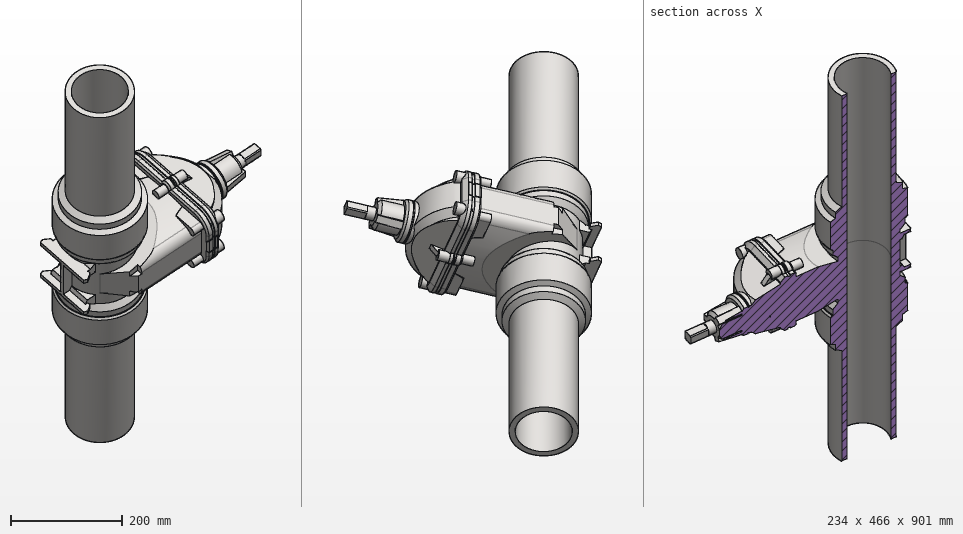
import cadquery as cq


LENGTH = 901.0
PIPE_D = 125.0
BORE_D = 103.0
RING_D = 150.5
COLLAR_D = 172.0
COLLAR_EDGE = 4.0
NECK_D = 161.0
HUB_D = 141.0
HUB_Z = 56.0
NECK_Z = 67.0
COLLAR_Z = 80.0
COLLAR_SHOULDER_Z = 151.0
RING_Z = 156.0
RING_CONE_Z = 170.0
PIPE_Z = 177.5

BODY_HALF_X = 199.0 / 2
CROWN_EDGE_X = 83.0
SIDE_HALF_Z = 26.0
CROWN_EDGE_Z = 45.0
CROWN_Z = 56.0
CORNER_BULGE = 0.66
BODY_END_Y = 5.0
KEEL_HALF_Z = 22.0
KEEL_X = 53.0
KEEL_Y = -46.0
SADDLE_Y = 113.5
SHOULDER_R = 89.0
SHOULDER_Y = 13.5

BODY_FLANGE_Y = 156.0
BONNET_FLANGE_Y = 180.0
BONNET_FLANGE_TOP_Y = 190.0
SLOPE_LAND = 1.0
GASKET_LOW_Y = 168.5
GASKET_TOP_Y = 174.0
JOINT_Y = (GASKET_LOW_Y + GASKET_TOP_Y) / 2
GASKET_INSET = 3.0
FLANGE_HALF_X = 232.0 / 2
FLANGE_HALF_Z = 132.0 / 2
FLANGE_CORNER_R = 38.0
FLANGE_EDGE = 4.0
SIDE_PAD_HALF_X = 234.0 / 2
SIDE_PAD_HALF_Z = 16.0

BOSS_TOP_Y = 201.0
BOLT_END_Y = 133.0
BOLT_R = 9.0
CORNER_BOLT_X = 192.0 / 2
CORNER_BOLT_Z = 44.0
CORNER_BOSS_R = 12.0
CORNER_BOSS_X = 197.0 / 2
CORNER_BOSS_Z = 40.0
MID_BOLT_Z = 122.0 / 2
MID_BOSS_R = 10.0
MID_BOSS_OUTER_Z = 150.5 / 2
MID_PAD_R = 13.5
GUSSET_TOP_Y = 218.0
GUSSET_WIDTH = 11.0
LUG_INNER_X = 45.0
LUG_SLANT = 10.0
LUG_Z = CORNER_BOLT_Z + BOLT_R

DOME_R = 106.0
DOME_CENTRE_Y = 150.5
DOME_SIDE_HALF_Z = 31.5
DOME_BEVEL = 13.5
DOME_TOP_Y = 258.0
DOME_TOP_SCALE = 0.7

GLAND_R = 40.0
GLAND_Y = 239.0
GLAND_TOP_Y = 273.0
GLAND_EDGE = 4.5
GROOVE_Y = 257.0
GROOVE_WIDTH = 3.0
GROOVE_DEPTH = 2.0
HOUSING_R = 28.0
HOUSING_TOP_Y = 322.0
HOUSING_EDGE = 6.0
RIB_COUNT = 3
RIB_WIDTH = 14.0
RIB_BASE_R = 36.0
RIB_TOP_R = 30.0
SPINDLE_D = 25.0
SPINDLE_SQUARE = 20.0
SPINDLE_SHOULDER_Y = 338.0
SPINDLE_TOP_Y = 376.0

FOOT_Y = -90.0
FOOT_TOP_Y = -70.0
FOOT_WAIST_Y = -83.0
FOOT_HALF_TOP = 54.0
FOOT_HALF_MAX = 62.0
FOOT_HALF_BOTTOM = 59.5
FOOT_OUTER_Z = 96.0 / 2
FOOT_INNER_Z = 40.0
FOOT_WEB = 8.0
FOOT_WEB_TOP_Y = -63.0
FLARE_HALF_X = 48.0
FLARE_LOW_Y = -76.0
FLARE_BEND_Y = -64.0
FLARE_TOP_Y = -53.0
FLARE_INNER_Y = -71.0
FLARE_OUTER_Z = 56.0
FLARE_INNER_Z = 31.5

SIGNS = (-1, 1)


def xz_plane(y):
    """Work plane at height y: local x is X, local y is -Z, and extrusion goes along +Y."""
    return cq.Workplane("ZX", origin=(0, y, 0)).transformed(rotate=(0, 0, 90))


def post(x, z, radius, y_low, y_high):
    """Round post along Y."""
    return xz_plane(y_low).center(x, -z).circle(radius).extrude(y_high - y_low)


def pipe_run():
    """One revolved profile, the same above and below the valve centre."""
    hub_r, neck_r, collar_r = HUB_D / 2, NECK_D / 2, COLLAR_D / 2
    ring_r, pipe_r = RING_D / 2, PIPE_D / 2
    upper_half = [
        (hub_r, HUB_Z),
        (neck_r, NECK_Z),
        (neck_r, COLLAR_Z),
        (collar_r - COLLAR_EDGE, COLLAR_Z),
        (collar_r, COLLAR_Z + COLLAR_EDGE),
        (collar_r, COLLAR_SHOULDER_Z),
        (ring_r, RING_Z),
        (ring_r, RING_CONE_Z),
        (pipe_r, PIPE_Z),
        (pipe_r, LENGTH / 2),
        (0, LENGTH / 2),
    ]
    lower_half = [(radius, -z) for radius, z in reversed(upper_half)]
    profile = cq.Workplane("XZ").polyline(lower_half + upper_half).close()
    return profile.revolve(360, (0, 0, 0), (0, 1, 0))


def crowned_section(plane):
    """Flat sides, round corners and a shallow crown above and below."""
    side_x, edge_x = BODY_HALF_X, CROWN_EDGE_X
    side_z, edge_z, crown_z = SIDE_HALF_Z, CROWN_EDGE_Z, CROWN_Z
    mid_x = edge_x + (side_x - edge_x) * CORNER_BULGE
    mid_z = side_z + (edge_z - side_z) * CORNER_BULGE
    return (
        plane.moveTo(side_x, -side_z)
        .lineTo(side_x, side_z)
        .threePointArc((mid_x, mid_z), (edge_x, edge_z))
        .threePointArc((0, crown_z), (-edge_x, edge_z))
        .threePointArc((-mid_x, mid_z), (-side_x, side_z))
        .lineTo(-side_x, -side_z)
        .threePointArc((-mid_x, -mid_z), (-edge_x, -edge_z))
        .threePointArc((0, -crown_z), (edge_x, -edge_z))
        .threePointArc((mid_x, -mid_z), (side_x, -side_z))
        .close()
    )


def valve_body():
    """Crowned box with a V-shaped lower end, thinned towards the pipe by two sloped saddles.

    Beside the keel the lower corners are trimmed to a cylinder about the pipe axis.
    """
    box = crowned_section(xz_plane(KEEL_Y)).extrude(JOINT_Y - KEEL_Y)
    keel = (
        cq.Workplane("XY")
        .polyline([
            (-KEEL_X, KEEL_Y), (KEEL_X, KEEL_Y), (BODY_HALF_X, BODY_END_Y), (BODY_HALF_X, JOINT_Y),
            (-BODY_HALF_X, JOINT_Y), (-BODY_HALF_X, BODY_END_Y),
        ])
        .close()
        .extrude(CROWN_Z, both=True)
    )
    wedge = (
        cq.Workplane("YZ")
        .polyline([
            (KEEL_Y, -SIDE_HALF_Z), (SADDLE_Y, -CROWN_Z), (JOINT_Y, -CROWN_Z),
            (JOINT_Y, CROWN_Z), (SADDLE_Y, CROWN_Z), (KEEL_Y, SIDE_HALF_Z),
        ])
        .close()
        .extrude(BODY_HALF_X, both=True)
    )
    body = box.intersect(keel).intersect(wedge)
    trim = (
        cq.Workplane("XY")
        .center(0, SHOULDER_Y - BODY_HALF_X)
        .rect(4 * BODY_HALF_X, 2 * BODY_HALF_X)
        .extrude(CROWN_Z)
    )
    hub_side = cq.Workplane("XY").circle(SHOULDER_R).extrude(CROWN_Z)
    trim = trim.cut(hub_side).translate((0, 0, KEEL_HALF_Z))
    return body.cut(trim).cut(trim.mirror("XY"))


def flange_plate(y_low, y_high, inset=0.0):
    """Rounded rectangular plate with pads at the sides and at the two middle bolts."""
    thickness = y_high - y_low
    plate = (
        xz_plane(y_low)
        .rect(2 * (FLANGE_HALF_X - inset), 2 * (FLANGE_HALF_Z - inset))
        .extrude(thickness)
        .edges("|Y")
        .fillet(FLANGE_CORNER_R - inset)
    )
    pad_x = SIDE_PAD_HALF_X - inset
    plate = plate.union(xz_plane(y_low).rect(2 * pad_x, 2 * SIDE_PAD_HALF_Z).extrude(thickness))
    mid_pad_z = MID_BOSS_OUTER_Z - MID_PAD_R
    for side in SIGNS:
        plate = plate.union(post(0, side * mid_pad_z, MID_PAD_R - inset, y_low, y_high))
    return plate


def flanges():
    """Body and bonnet plates with a recessed gasket between them, and a slope up to the dome."""
    lower = flange_plate(BODY_FLANGE_Y, GASKET_LOW_Y).faces("<Y").chamfer(FLANGE_EDGE)
    gasket = flange_plate(GASKET_LOW_Y, GASKET_TOP_Y, GASKET_INSET)
    upper = flange_plate(GASKET_TOP_Y, BONNET_FLANGE_Y)
    rise = BONNET_FLANGE_TOP_Y - BONNET_FLANGE_Y
    slope = (
        xz_plane(BONNET_FLANGE_Y)
        .rect(2 * FLANGE_HALF_X, 2 * FLANGE_HALF_Z)
        .extrude(rise)
        .edges("|Y")
        .fillet(FLANGE_CORNER_R)
        .faces(">Y")
        .chamfer(rise - SLOPE_LAND)
    )
    return lower.union(gasket).union(upper).union(slope)


def corner_bolts():
    """Boss above the joint, bolt below it, and a lug that ties each bolt to the body."""
    parts = cq.Workplane("XY")
    bolt_top = BODY_FLANGE_Y + FLANGE_EDGE
    for sx in SIGNS:
        for sz in SIGNS:
            boss = post(sx * CORNER_BOSS_X, sz * CORNER_BOSS_Z, CORNER_BOSS_R, JOINT_Y, BOSS_TOP_Y)
            bolt = post(sx * CORNER_BOLT_X, sz * CORNER_BOLT_Z, BOLT_R, BOLT_END_Y, bolt_top)
            lug = (
                cq.Workplane("XY")
                .polyline([
                    (sx * (LUG_INNER_X + LUG_SLANT), BOLT_END_Y), (sx * CORNER_BOLT_X, BOLT_END_Y),
                    (sx * CORNER_BOLT_X, bolt_top), (sx * LUG_INNER_X, bolt_top),
                ])
                .close()
                .extrude(sz * LUG_Z)
            )
            parts = parts.union(boss).union(bolt).union(lug)
    return parts


def middle_bolts():
    """Boss with a gusset above the joint and a bolt below it, on both crowns."""
    parts = cq.Workplane("XY")
    boss_z = MID_BOSS_OUTER_Z - MID_BOSS_R
    for side in SIGNS:
        parts = parts.union(post(0, side * boss_z, MID_BOSS_R, JOINT_Y, BOSS_TOP_Y))
        parts = parts.union(post(0, side * MID_BOLT_Z, BOLT_R, BOLT_END_Y, JOINT_Y))
        gusset = (
            cq.Workplane("YZ")
            .polyline([
                (JOINT_Y, 0), (GUSSET_TOP_Y, 0), (GUSSET_TOP_Y, side * CROWN_EDGE_Z),
                (BOSS_TOP_Y, side * boss_z), (JOINT_Y, side * boss_z),
            ])
            .close()
            .extrude(GUSSET_WIDTH / 2, both=True)
        )
        parts = parts.union(gusset)
    return parts


def bonnet():
    """Round dome with bevelled rims, narrowed towards the gland by a tapered crown."""
    def dome_disc(radius, half_height):
        return cq.Workplane("XY").center(0, DOME_CENTRE_Y).circle(radius).extrude(half_height, both=True)

    dome = dome_disc(DOME_R, DOME_SIDE_HALF_Z + DOME_BEVEL).edges().chamfer(DOME_BEVEL)
    dome = dome.union(dome_disc(DOME_R - DOME_BEVEL, CROWN_Z))
    taper_section = (
        cq.Workplane("YZ")
        .polyline([
            (BONNET_FLANGE_Y, -CROWN_Z), (DOME_TOP_Y, -CROWN_Z * DOME_TOP_SCALE),
            (DOME_TOP_Y, CROWN_Z * DOME_TOP_SCALE), (BONNET_FLANGE_Y, CROWN_Z),
        ])
        .close()
        .extrude(DOME_R, both=True)
    )
    return dome.intersect(taper_section)


def gland():
    """Grooved collar, three-ribbed housing and the spindle with its square end."""
    collar = post(0, 0, GLAND_R, GLAND_Y, GLAND_TOP_Y).faces(">Y").chamfer(GLAND_EDGE)
    groove = xz_plane(GROOVE_Y).circle(GLAND_R).circle(GLAND_R - GROOVE_DEPTH).extrude(GROOVE_WIDTH)
    housing = post(0, 0, HOUSING_R, GLAND_TOP_Y, HOUSING_TOP_Y).faces(">Y").chamfer(HOUSING_EDGE)
    rib = (
        cq.Workplane("XY")
        .polyline([
            (0, GLAND_TOP_Y), (RIB_BASE_R, GLAND_TOP_Y), (RIB_TOP_R, HOUSING_TOP_Y), (0, HOUSING_TOP_Y),
        ])
        .close()
        .extrude(RIB_WIDTH / 2, both=True)
    )
    for i in range(RIB_COUNT):
        housing = housing.union(rib.rotate((0, 0, 0), (0, 1, 0), i * 360 / RIB_COUNT))
    stem = post(0, 0, SPINDLE_D / 2, HOUSING_TOP_Y, SPINDLE_SHOULDER_Y)
    round_end = post(0, 0, SPINDLE_D / 2, SPINDLE_SHOULDER_Y, SPINDLE_TOP_Y)
    square_bar = (
        xz_plane(SPINDLE_SHOULDER_Y)
        .rect(SPINDLE_SQUARE, SPINDLE_SQUARE)
        .extrude(SPINDLE_TOP_Y - SPINDLE_SHOULDER_Y)
    )
    square_end = square_bar.intersect(round_end)
    return collar.cut(groove).union(housing).union(stem).union(square_end)


def foot():
    """Two cross rails, each flaring where it meets the hub, joined by a thin web."""
    outline = (
        cq.Workplane("XY")
        .polyline([
            (-FOOT_HALF_BOTTOM, FOOT_Y), (FOOT_HALF_BOTTOM, FOOT_Y), (FOOT_HALF_MAX, FOOT_WAIST_Y),
            (FOOT_HALF_TOP, FOOT_TOP_Y), (-FOOT_HALF_TOP, FOOT_TOP_Y), (-FOOT_HALF_MAX, FOOT_WAIST_Y),
        ])
        .close()
    )
    rail = outline.extrude(FOOT_OUTER_Z - FOOT_INNER_Z).translate((0, 0, FOOT_INNER_Z))
    web = (
        cq.Workplane("XY")
        .box(FOOT_WEB, FOOT_WEB_TOP_Y - FOOT_Y, 2 * FOOT_OUTER_Z)
        .translate((0, (FOOT_WEB_TOP_Y + FOOT_Y) / 2, 0))
    )
    flare = (
        cq.Workplane("YZ")
        .polyline([
            (FLARE_LOW_Y, FOOT_INNER_Z), (FLARE_LOW_Y, FOOT_OUTER_Z), (FLARE_BEND_Y, FOOT_OUTER_Z),
            (FLARE_TOP_Y, FLARE_OUTER_Z), (0, FLARE_OUTER_Z), (0, FLARE_INNER_Z),
            (FLARE_INNER_Y, FLARE_INNER_Z),
        ])
        .close()
        .extrude(FLARE_HALF_X, both=True)
    )
    upper = rail.union(flare)
    return web.union(upper).union(upper.mirror("XY"))


bore = cq.Workplane("XY").circle(BORE_D / 2).extrude(LENGTH / 2, both=True)

result = pipe_run()
for piece in (valve_body(), flanges(), corner_bolts(), middle_bolts(), bonnet(), gland(), foot()):
    result = result.union(piece)
result = result.cut(bore)